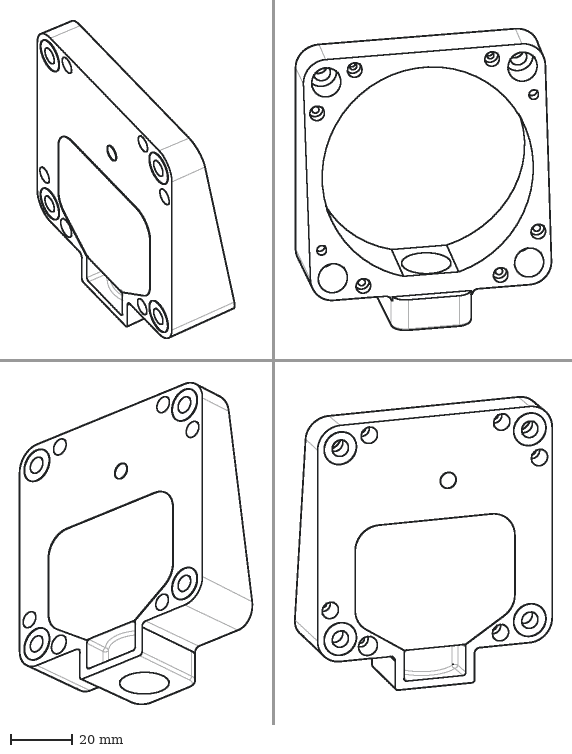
import cadquery as cq
import math

PLATE_SIDE = 80.5
CORNER_RADIUS = 7.75
HALF_SIDE = PLATE_SIDE / 2
SLOPE_ANGLE = 10.0
SLOPE = math.tan(math.radians(SLOPE_ANGLE))
CENTRE_THICKNESS = 18.7
DRAFT = 0.8

PAD_HEIGHT = 0.23
PAD_HALF_WIDTH = 27.4
PAD_TOP_Z = 5.0
PAD_KNEE_Z = -27.8
PAD_CORNER_RADIUS = 8.0
ROUND_PAD_DIAMETER = 5.35
ROUND_PAD_X = 4.5
ROUND_PAD_Z = 17.9
RING_PAD_DIAMETER = 11.1

OVERALL_HEIGHT = 92.25
TAB_HALF_WIDTH = 13.65
TAB_DEPTH = 29.1
OVERALL_DEPTH = TAB_DEPTH + PAD_HEIGHT
TAB_TOP_Z = -HALF_SIDE
TAB_BOTTOM_Z = HALF_SIDE - OVERALL_HEIGHT
TAB_RIM_RADIUS = 1.0
TAB_REAR_RADIUS = 4.9
TAB_JOINT_RADIUS = 1.7

BORE_DIAMETER = 16.05
BORE_WALL = 3.8
BORE_Y = 16.1
BORE_TOP_Z = -18.45
POCKET_HALF_WIDTH = 10.6
POCKET_TOP_Z = -38.6
POCKET_BOTTOM_Z = -49.2
POCKET_DRAFT = 3.5
POCKET_FILLET = 1.0

CAVITY_DIAMETER = 69.9
CAVITY_FLAT_HALF_WIDTH = 9.1
CAVITY_FLOOR_Y = 3.7

MOUNT_OFFSET = HALF_SIDE - CORNER_RADIUS
MOUNT_DIAMETER = 5.5
MOUNT_COUNTERBORE = 9.6
MOUNT_SEAT_Y = 5.5

SCREW_NEAR = 22.5
SCREW_NEAR_WIDE = 23.0
SCREW_FAR = 35.9
SCREW_DIAMETER = 2.3
RECESS_DIAMETER = 5.5
RECESS_LARGE_DIAMETER = 6.5
RECESS_FLOOR_DIAMETER = 5.0
RECESS_DEPTH = 7.4
REAR_HOLE_DIAMETER = 4.8
REAR_HOLE_DEPTH = 2.8
BLIND_HOLE_DIAMETER = 3.1


def rear_plane(y):
    """Plane at depth y whose normal is +Y and whose local axes are (-X, +Z)."""
    return cq.Workplane(cq.Plane(origin=(0, y, 0), xDir=(-1, 0, 0), normal=(0, 1, 0)))


def rear_y(z):
    """Depth of the sloping rear face at height z."""
    return CENTRE_THICKNESS - z * SLOPE


def cylinder(x, z, diameter, start_y, end_y):
    return rear_plane(start_y).center(-x, z).circle(diameter / 2).extrude(end_y - start_y)


def cone(x, z, front_diameter, floor_diameter, depth):
    front = rear_plane(0).center(-x, z).circle(front_diameter / 2)
    return front.workplane(offset=depth).circle(floor_diameter / 2).loft()


def wedge():
    """Drafted plate with the flares that lead into the tab, cut off at the sloping rear face."""
    flare_x = TAB_HALF_WIDTH + TAB_JOINT_RADIUS
    flare_z = TAB_TOP_Z - TAB_JOINT_RADIUS
    flare_mid = TAB_JOINT_RADIUS * (1 - math.sqrt(0.5))
    flare_mid_x = TAB_HALF_WIDTH + flare_mid
    flare_mid_z = TAB_TOP_Z - flare_mid
    straight_end = HALF_SIDE - CORNER_RADIUS
    arc_mid = straight_end + CORNER_RADIUS * math.sqrt(0.5)
    outline = (
        rear_plane(0)
        .moveTo(-TAB_HALF_WIDTH, flare_z)
        .threePointArc((-flare_mid_x, flare_mid_z), (-flare_x, TAB_TOP_Z))
        .lineTo(-straight_end, -HALF_SIDE)
        .threePointArc((-arc_mid, -arc_mid), (-HALF_SIDE, -straight_end))
        .lineTo(-HALF_SIDE, straight_end)
        .threePointArc((-arc_mid, arc_mid), (-straight_end, HALF_SIDE))
        .lineTo(straight_end, HALF_SIDE)
        .threePointArc((arc_mid, arc_mid), (HALF_SIDE, straight_end))
        .lineTo(HALF_SIDE, -straight_end)
        .threePointArc((arc_mid, -arc_mid), (straight_end, -HALF_SIDE))
        .lineTo(flare_x, TAB_TOP_Z)
        .threePointArc((flare_mid_x, flare_mid_z), (TAB_HALF_WIDTH, flare_z))
        .close()
    )
    block = outline.extrude(TAB_DEPTH, taper=DRAFT)
    side = (
        cq.Workplane("YZ")
        .polyline([
            (0, HALF_SIDE),
            (rear_y(HALF_SIDE), HALF_SIDE),
            (rear_y(TAB_BOTTOM_Z), TAB_BOTTOM_Z),
            (0, TAB_BOTTOM_Z),
        ])
        .close()
        .extrude(HALF_SIDE, both=True)
    )
    return block.intersect(side)


def tab():
    """Drafted block below the plate with rounded rear corners and a rounded bottom rim."""
    block = (
        rear_plane(0)
        .rect(2 * TAB_HALF_WIDTH, -2 * TAB_BOTTOM_Z)
        .extrude(TAB_DEPTH, taper=DRAFT)
        .faces(">Y")
        .edges("|Z")
        .fillet(TAB_REAR_RADIUS)
    )
    block = block.faces("<Z").edges(">Y").fillet(TAB_RIM_RADIUS)
    below_plate = cq.Workplane("XY", origin=(0, 0, TAB_TOP_Z)).rect(OVERALL_HEIGHT, OVERALL_HEIGHT)
    return block.intersect(below_plate.extrude(TAB_BOTTOM_Z - TAB_TOP_Z))


def front_pads():
    """Raised areas: a large one ending at the pocket, a small disc and a disc at each mounting hole."""
    pad = (
        cq.Sketch()
        .polygon([
            (-PAD_HALF_WIDTH, PAD_TOP_Z),
            (PAD_HALF_WIDTH, PAD_TOP_Z),
            (PAD_HALF_WIDTH, PAD_KNEE_Z),
            (POCKET_HALF_WIDTH, POCKET_TOP_Z),
            (-POCKET_HALF_WIDTH, POCKET_TOP_Z),
            (-PAD_HALF_WIDTH, PAD_KNEE_Z),
            (-PAD_HALF_WIDTH, PAD_TOP_Z),
        ])
        .vertices("<X or >X")
        .fillet(PAD_CORNER_RADIUS)
    )
    pads = rear_plane(-PAD_HEIGHT).placeSketch(pad).extrude(PAD_HEIGHT)
    pads = pads.union(cylinder(ROUND_PAD_X, ROUND_PAD_Z, ROUND_PAD_DIAMETER, -PAD_HEIGHT, 0))
    for x, z in mount_positions():
        pads = pads.union(cylinder(x, z, RING_PAD_DIAMETER, -PAD_HEIGHT, 0))
    return pads


def cavity():
    """Round recess from the rear, with a chord-shaped flat where the bore comes in."""
    radius = CAVITY_DIAMETER / 2
    flat_z = -math.sqrt(radius**2 - CAVITY_FLAT_HALF_WIDTH**2)
    outline = (
        rear_plane(CAVITY_FLOOR_Y)
        .moveTo(-CAVITY_FLAT_HALF_WIDTH, flat_z)
        .threePointArc((0, radius), (CAVITY_FLAT_HALF_WIDTH, flat_z))
        .close()
    )
    return outline.extrude(OVERALL_DEPTH)


def bore_cylinder(diameter):
    """Vertical cylinder on the bore axis, from the underside of the tab up into the cavity."""
    base = cq.Workplane("XY", origin=(0, BORE_Y, TAB_BOTTOM_Z))
    return base.circle(diameter / 2).extrude(BORE_TOP_Z - TAB_BOTTOM_Z)


def pocket():
    """Drafted front recess whose back bulges forward round the bore wall."""
    block = (
        rear_plane(0)
        .center(0, (POCKET_TOP_Z + POCKET_BOTTOM_Z) / 2)
        .rect(2 * POCKET_HALF_WIDTH, POCKET_TOP_Z - POCKET_BOTTOM_Z)
        .extrude(BORE_Y, taper=POCKET_DRAFT)
    )
    recess = block.cut(bore_cylinder(BORE_DIAMETER + 2 * BORE_WALL))
    return recess.edges("not(<Y)").fillet(POCKET_FILLET)


def mount_positions():
    return [(x, z) for x in (-MOUNT_OFFSET, MOUNT_OFFSET) for z in (-MOUNT_OFFSET, MOUNT_OFFSET)]


def mounting_hole(x, z):
    through = cylinder(x, z, MOUNT_DIAMETER, -PAD_HEIGHT, OVERALL_DEPTH)
    return through.union(cylinder(x, z, MOUNT_COUNTERBORE, MOUNT_SEAT_Y, OVERALL_DEPTH))


def screw_hole(x, z, recess_diameter):
    hole = cylinder(x, z, SCREW_DIAMETER, 0, OVERALL_DEPTH)
    hole = hole.union(cone(x, z, recess_diameter, RECESS_FLOOR_DIAMETER, RECESS_DEPTH))
    return hole.union(rear_hole(x, z, REAR_HOLE_DIAMETER))


def rear_hole(x, z, diameter):
    return cylinder(x, z, diameter, rear_y(z) - REAR_HOLE_DEPTH, OVERALL_DEPTH)


result = wedge().union(tab()).union(front_pads())
result = result.cut(cavity()).cut(bore_cylinder(BORE_DIAMETER)).cut(pocket())

for x, z in mount_positions():
    result = result.cut(mounting_hole(x, z))

for x, z, recess_diameter in [
    (SCREW_FAR, SCREW_NEAR, RECESS_DIAMETER),
    (SCREW_NEAR_WIDE, SCREW_FAR, RECESS_DIAMETER),
    (-SCREW_NEAR, SCREW_FAR, RECESS_DIAMETER),
    (-SCREW_FAR, -SCREW_NEAR, RECESS_DIAMETER),
    (-SCREW_NEAR_WIDE, -SCREW_FAR, RECESS_LARGE_DIAMETER),
    (SCREW_NEAR, -SCREW_FAR, RECESS_DIAMETER),
]:
    result = result.cut(screw_hole(x, z, recess_diameter))

for side in (-1, 1):
    result = result.cut(rear_hole(-side * SCREW_FAR, side * SCREW_NEAR_WIDE, BLIND_HOLE_DIAMETER))

result = result.solids()